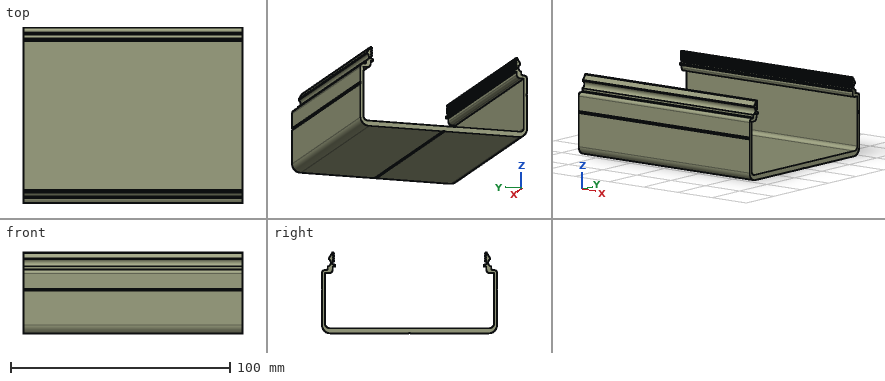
import cadquery as cq
import math

LENGTH = 100.0
WIDTH = 80.0
HEIGHT = 37.0

WALL = 1.5
FLOOR = 2.5
OUTER_RADIUS = 4.0
INNER_RADIUS = 2.0

SHOULDER_TOP = 29.0
SHOULDER_BOTTOM = SHOULDER_TOP - WALL
SHOULDER_RADIUS = 1.5
BEND_RADIUS = 1.6

STEM_OUTER = 2.7
STEM_INNER = 5.0
STEM_TOP = 30.6
STEM_CHAMFER = 0.4
NECK_OUTER = 4.1
NECK_INNER = 4.9
NECK_HEIGHT = 32.5
HEAD_OUTER = 3.2
HEAD_LOW = 33.9
HEAD_HIGH = 34.4

LIP_REACH = 6.1
LIP_BOTTOM = 30.5
LIP_TOP = 31.3
LIP_ROOT_TOP = 31.8

TOOTH_COUNT = 4
TOOTH_ROOT = 5.0
TOOTH_FLANK = 5.3
TOOTH_TIP = 5.6
TOOTH_THICKNESS = 0.5
TOOTH_GAP = 0.65
TOOTH_PITCH = TOOTH_THICKNESS + TOOTH_GAP
CREST_RADIUS = 0.3
CREST_HEIGHT = HEIGHT - CREST_RADIUS
CREST_DEPTH = TOOTH_FLANK - CREST_RADIUS
TOP_TOOTH = CREST_HEIGHT - TOOTH_THICKNESS / 2

GROOVE_WIDTH = 1.0
GROOVE_FLAT = 0.4
GROOVE_DEPTH = 0.2
SIDE_GROOVE_HEIGHT = 20.0

ARC_MIDDLE = math.sqrt(0.5)


def start_section(outline_start):
    """Start an outline in the YZ plane at the -X end of the channel."""
    return cq.Workplane("YZ", origin=(-LENGTH / 2, 0, 0)).moveTo(*outline_start)


def at_depth(depth, height):
    """Point on the -Y half, given by its depth inward from the outer wall face."""
    return depth - WIDTH / 2, height


def half_channel():
    """The -Y half: half the floor, one wall and the clip on top of it."""
    outline = start_section((0, 0))

    outer_inset = OUTER_RADIUS * (1 - ARC_MIDDLE)
    shoulder_inset = SHOULDER_RADIUS * (1 - ARC_MIDDLE)
    outline = (
        outline.lineTo(*at_depth(OUTER_RADIUS, 0))
        .threePointArc(at_depth(outer_inset, outer_inset), at_depth(0, OUTER_RADIUS))
        .lineTo(*at_depth(0, SHOULDER_TOP - SHOULDER_RADIUS))
        .threePointArc(
            at_depth(shoulder_inset, SHOULDER_TOP - shoulder_inset),
            at_depth(SHOULDER_RADIUS, SHOULDER_TOP),
        )
    )

    outline = (
        outline.lineTo(*at_depth(STEM_OUTER - STEM_CHAMFER, SHOULDER_TOP))
        .lineTo(*at_depth(STEM_OUTER, SHOULDER_TOP + STEM_CHAMFER))
        .lineTo(*at_depth(STEM_OUTER, STEM_TOP))
        .threePointArc(at_depth(NECK_OUTER, NECK_HEIGHT), at_depth(HEAD_OUTER, HEAD_LOW))
        .lineTo(*at_depth(HEAD_OUTER, HEAD_HIGH))
        .lineTo(*at_depth(CREST_DEPTH - CREST_RADIUS, CREST_HEIGHT))
        .threePointArc(at_depth(CREST_DEPTH, HEIGHT), at_depth(TOOTH_FLANK, CREST_HEIGHT))
    )

    for tooth in range(TOOTH_COUNT):
        tip_height = TOP_TOOTH - tooth * TOOTH_PITCH
        if tooth > 0:
            outline = (
                outline.lineTo(*at_depth(TOOTH_ROOT, tip_height + TOOTH_PITCH / 2))
                .lineTo(*at_depth(TOOTH_FLANK, tip_height + TOOTH_THICKNESS / 2))
            )
        outline = outline.threePointArc(
            at_depth(TOOTH_TIP, tip_height),
            at_depth(TOOTH_FLANK, tip_height - TOOTH_THICKNESS / 2),
        )

    bend_inset = BEND_RADIUS * (1 - ARC_MIDDLE)
    outline = (
        outline.lineTo(*at_depth(NECK_INNER, NECK_HEIGHT))
        .lineTo(*at_depth(NECK_INNER, LIP_ROOT_TOP))
        .lineTo(*at_depth(LIP_REACH, LIP_TOP))
        .lineTo(*at_depth(LIP_REACH, LIP_BOTTOM))
        .lineTo(*at_depth(STEM_INNER, LIP_BOTTOM))
        .lineTo(*at_depth(STEM_INNER, SHOULDER_BOTTOM + BEND_RADIUS))
        .threePointArc(
            at_depth(STEM_INNER - bend_inset, SHOULDER_BOTTOM + bend_inset),
            at_depth(STEM_INNER - BEND_RADIUS, SHOULDER_BOTTOM),
        )
        .lineTo(*at_depth(WALL, SHOULDER_BOTTOM))
    )

    inner_inset = INNER_RADIUS * (1 - ARC_MIDDLE)
    outline = (
        outline.lineTo(*at_depth(WALL, FLOOR + INNER_RADIUS))
        .threePointArc(
            at_depth(WALL + inner_inset, FLOOR + inner_inset),
            at_depth(WALL + INNER_RADIUS, FLOOR),
        )
        .lineTo(0, FLOOR)
        .close()
    )
    return outline.extrude(LENGTH)


def side_groove():
    """Cutter along the outer face of the -Y wall."""
    return (
        start_section(at_depth(0, SIDE_GROOVE_HEIGHT - GROOVE_WIDTH / 2))
        .lineTo(*at_depth(GROOVE_DEPTH, SIDE_GROOVE_HEIGHT - GROOVE_FLAT / 2))
        .lineTo(*at_depth(GROOVE_DEPTH, SIDE_GROOVE_HEIGHT + GROOVE_FLAT / 2))
        .lineTo(*at_depth(0, SIDE_GROOVE_HEIGHT + GROOVE_WIDTH / 2))
        .close()
        .extrude(LENGTH)
    )


def floor_groove():
    """Cutter along the middle of the underside."""
    return (
        start_section((-GROOVE_WIDTH / 2, 0))
        .lineTo(-GROOVE_FLAT / 2, GROOVE_DEPTH)
        .lineTo(GROOVE_FLAT / 2, GROOVE_DEPTH)
        .lineTo(GROOVE_WIDTH / 2, 0)
        .close()
        .extrude(LENGTH)
    )


half = half_channel().cut(side_groove())
result = half.union(half.mirror("XZ")).cut(floor_groove()).clean()